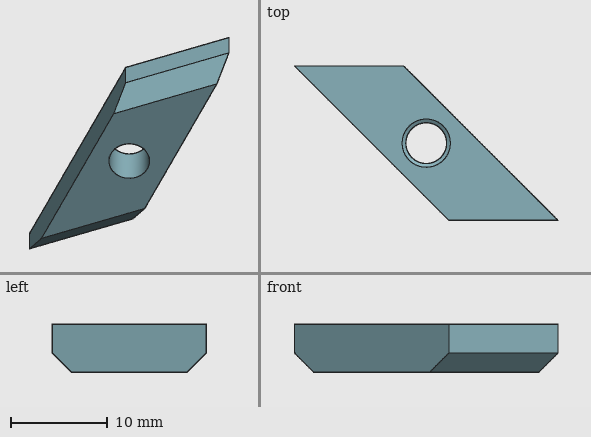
import cadquery as cq
import math

bar_width = 8.0
length_y = 16.0
thickness = 5.0
slant_angle = 45.0
end_chamfer = 2.0
hole_diameter = 4.2
countersink_diameter = 5.0
countersink_angle = 120.0

end_length = bar_width / math.sin(math.radians(slant_angle))
slant_run = length_y / math.tan(math.radians(slant_angle))
overall_x = end_length + slant_run
half_y = length_y / 2


def make_slanted_bar():
    """Parallelogram plate centred on the Z axis, standing on Z = 0."""
    outer_x = overall_x / 2
    inner_x = outer_x - end_length
    return (
        cq.Workplane("XY")
        .polyline([
            (-outer_x, half_y),
            (-inner_x, half_y),
            (outer_x, -half_y),
            (inner_x, -half_y),
        ])
        .close()
        .extrude(thickness)
    )


def cut_end_chamfers(body):
    """Trim the plate to a YZ profile whose lower corners are bevelled.

    The bevels are cut along X, so they keep the long sides flat.
    """
    flat_half_y = half_y - end_chamfer
    profile = (
        cq.Workplane("YZ")
        .polyline([
            (-half_y, thickness),
            (-half_y, end_chamfer),
            (-flat_half_y, 0),
            (flat_half_y, 0),
            (half_y, end_chamfer),
            (half_y, thickness),
        ])
        .close()
        .extrude(overall_x / 2, both=True)
    )
    return body.intersect(profile)


def cut_hole(body):
    """Central through hole countersunk at its top rim."""
    return body.faces(">Z").workplane(origin=(0, 0, thickness)).cskHole(
        hole_diameter, countersink_diameter, countersink_angle
    )


result = cut_hole(cut_end_chamfers(make_slanted_bar()))